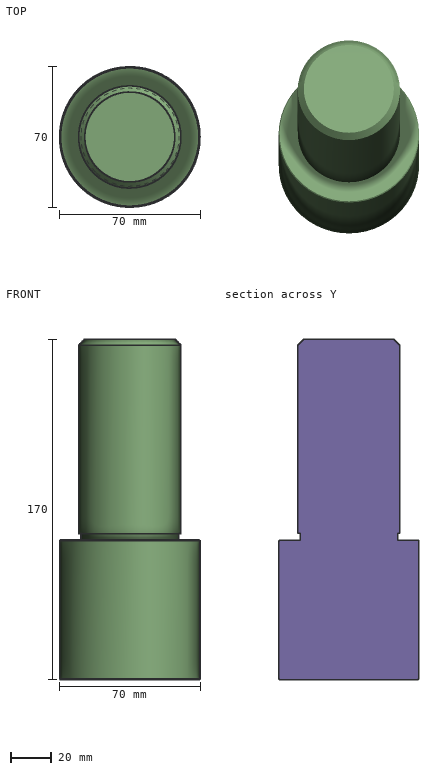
import cadquery as cq

total_height = 170.0
head_diameter = 70.0
head_height = 69.9
shank_diameter = 51.0

groove_diameter = 49.0
groove_height = 3.0

tip_chamfer = 3.0
head_chamfer = 0.5


def cylinder(diameter, bottom, top):
    """Round section on the Z axis between two heights."""
    return cq.Workplane("XY").workplane(offset=bottom).circle(diameter / 2).extrude(top - bottom)


head = cylinder(head_diameter, 0, head_height).edges().chamfer(head_chamfer)

shank_bottom = head_height + groove_height
neck = cylinder(groove_diameter, head_height, shank_bottom)

shank = cylinder(shank_diameter, shank_bottom, total_height).faces(">Z").chamfer(tip_chamfer)

result = head.union(neck).union(shank)